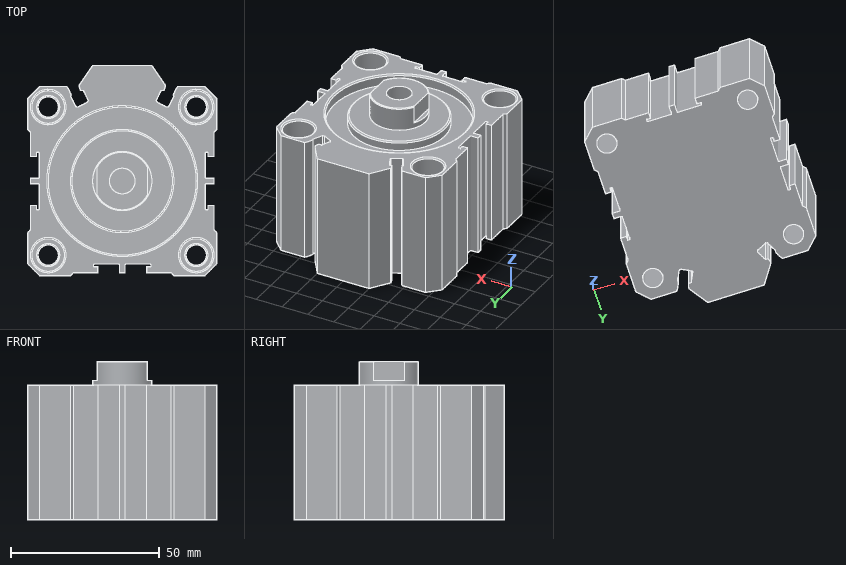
import cadquery as cq

body_width = 64.0
body_height = 45.5
total_depth = 71.0
total_height = 53.5
half_width = body_width / 2
head_back_y = total_depth - half_width
corner_chamfer = 4.1

head_back_half_width = 10.0
head_shoulder_half_width = 14.55
head_neck_half_width = 14.6
head_shoulder_rise = 0.4

notch_mouth_x = 18.8
notch_outer_wall = [(18.25, 31.3), (17.2, 29.1), (17.4, 28.6)]
notch_floor = [(15.6, 25.1), (15.05, 25.0), (11.7, 26.7), (11.5, 27.2)]
notch_head_wall = [(13.1, 30.5), (14.1, 30.5)]

relief_depth = 1.0
relief_outer_half_width = 17.5
relief_inner_half_width = relief_outer_half_width - relief_depth
slot_depth = 2.9
slot_lip_thickness = 2.05
slot_mouth_half_width = 8.25
slot_undercut_half_width = 9.65
rib_half_width = 1.0
slot_corner_radius = 0.2
slotted_face_angles = (-90, 0, 90)

mounting_pitch = 50.0
mounting_hole_diameter = 6.8
counterbore_diameter = 11.0
counterbore_depth = 8.5
edge_chamfer = 0.5

recess_radius = 25.0
recess_depth = 4.0
collar_radius = 17.5
collar_height = 3.4

rod_radius = 10.0
rod_insertion = 19.9
rod_top_chamfer = 0.3
flat_spacing = 17.05
flat_height = 6.45
rod_hole_diameter = 8.65
rod_hole_depth = 15.0
rod_base_z = body_height - rod_insertion


def chamfered_hole(radius, top_z, depth):
    """Cutter for a round hole below top_z with a chamfered mouth."""
    shaft = cq.Workplane("XY").workplane(offset=top_z - depth).circle(radius).extrude(depth)
    mouth = cq.Workplane(cq.Solid.makeCone(
        radius, radius + edge_chamfer, edge_chamfer, cq.Vector(0, 0, top_z - edge_chamfer)))
    return shaft.union(mouth)


def make_block():
    """Square block with chamfered corners and the sensor head behind it."""
    block = cq.Workplane("XY").rect(body_width, body_width).extrude(body_height)
    block = block.edges("|Z").chamfer(corner_chamfer)
    shoulder_y = half_width + head_shoulder_rise
    head_half = [
        (head_neck_half_width, 0),
        (head_neck_half_width, half_width),
        (head_shoulder_half_width, shoulder_y),
        (head_back_half_width, head_back_y),
    ]
    head_outline = head_half + [(-x, y) for x, y in reversed(head_half)]
    head = cq.Workplane("XY").polyline(head_outline).close().extrude(body_height)
    return block.union(head)


def make_sensor_notch():
    """Slanted notch beside the sensor head, on the +X side."""
    outline = [
        (notch_mouth_x, half_width),
        *notch_outer_wall,
        *notch_floor,
        *notch_head_wall,
        (head_neck_half_width, half_width),
    ]
    return cq.Workplane("XY").polyline(outline).close().extrude(body_height)


def make_face_slots():
    """Cutter for the relief and T-slot pair of the -Y face, with rounded floor corners."""
    relief_y = -half_width + relief_depth
    lip_y = relief_y + slot_lip_thickness
    floor_y = relief_y + slot_depth
    relief_outline = [
        (-relief_outer_half_width, -half_width),
        (relief_outer_half_width, -half_width),
        (relief_inner_half_width, relief_y),
        (-relief_inner_half_width, relief_y),
    ]
    slot_outline = [
        (rib_half_width, -half_width),
        (slot_mouth_half_width, -half_width),
        (slot_mouth_half_width, lip_y),
        (slot_undercut_half_width, lip_y),
        (slot_undercut_half_width, floor_y),
        (rib_half_width, floor_y),
    ]
    relief = cq.Workplane("XY").polyline(relief_outline).close().extrude(body_height)
    slot = cq.Workplane("XY").polyline(slot_outline).close().extrude(body_height)
    face_slots = relief.union(slot).union(slot.mirror("YZ"))
    return face_slots.edges("|Z").edges(">Y").fillet(slot_corner_radius)


def make_mounting_hole():
    """Cutter for one through hole and its counterbore, both with chamfered mouths."""
    floor_z = body_height - counterbore_depth
    counterbore = chamfered_hole(counterbore_diameter / 2, body_height, counterbore_depth)
    return counterbore.union(chamfered_hole(mounting_hole_diameter / 2, floor_z, floor_z))


def make_collar_recess():
    """Cutter for the ring-shaped recess that leaves the collar standing."""
    collar = (
        cq.Workplane("XY").workplane(offset=body_height - recess_depth)
        .circle(collar_radius).extrude(collar_height)
        .faces(">Z").chamfer(edge_chamfer)
    )
    return chamfered_hole(recess_radius, body_height, recess_depth).cut(collar)


def make_housing():
    housing = make_block()
    notch = make_sensor_notch()
    housing = housing.cut(notch).cut(notch.mirror("YZ"))
    face_slots = make_face_slots()
    for angle in slotted_face_angles:
        housing = housing.cut(face_slots.rotate((0, 0, 0), (0, 0, 1), angle))
    mounting_hole = make_mounting_hole()
    for x in (-mounting_pitch / 2, mounting_pitch / 2):
        for y in (-mounting_pitch / 2, mounting_pitch / 2):
            housing = housing.cut(mounting_hole.translate((x, y, 0)))
    rod_bore = cq.Workplane("XY").workplane(offset=rod_base_z).circle(rod_radius).extrude(rod_insertion)
    return housing.cut(make_collar_recess()).cut(rod_bore)


def make_rod():
    """Round rod with two wrench flats and a blind hole in its end."""
    rod = (
        cq.Workplane("XY").workplane(offset=rod_base_z)
        .circle(rod_radius).extrude(total_height - rod_base_z)
        .faces(">Z").chamfer(rod_top_chamfer)
        .faces(">Z").workplane().hole(rod_hole_diameter, rod_hole_depth)
    )
    rod_diameter = 2 * rod_radius
    kept_slab = (
        cq.Workplane("XY").workplane(offset=total_height - flat_height)
        .rect(flat_spacing, rod_diameter).extrude(flat_height)
    )
    flats = (
        cq.Workplane("XY").workplane(offset=total_height - flat_height)
        .rect(rod_diameter, rod_diameter).extrude(flat_height)
        .cut(kept_slab)
    )
    return rod.cut(flats)


housing = make_housing()
rod = make_rod()
result = cq.Compound.makeCompound([housing.val(), rod.val()])